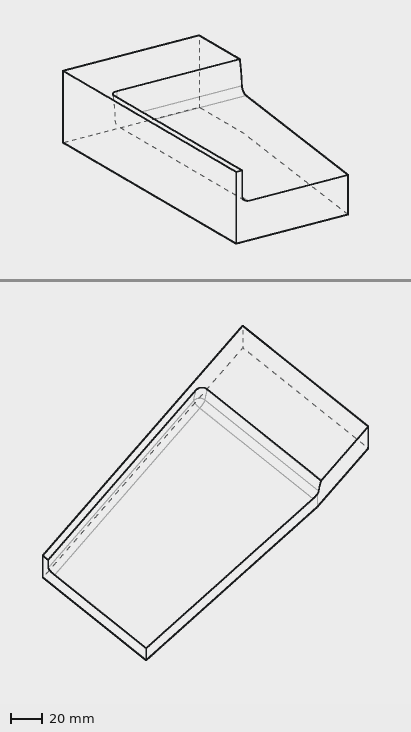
import cadquery as cq
import math

length = 200.0
width = 105.0
height = 50.0

taper_start = 51.0
end_width = 86.5

end_block_length = 47.2
front_wall = 4.5
floor_height = 27.5
end_wall_radius = 100.0
recess_fillet = 5.2
clearance = 20.0


def make_block():
    outline = [(0, 0), (length, 0), (length, end_width), (taper_start, width), (0, width)]
    return cq.Workplane("XY").polyline(outline).close().extrude(height)


def make_recess_cutter():
    """Recess volume with a bulging end wall and rounded inner edges."""
    def arc_reach(z):
        return math.sqrt(end_wall_radius**2 - (z - floor_height) ** 2)

    arc_center = end_block_length - arc_reach(height)
    far_end = length + clearance
    top = height + clearance
    middle = (floor_height + top) / 2
    cutter = (
        cq.Workplane("XZ", origin=(0, front_wall, 0))
        .moveTo(arc_center + end_wall_radius, floor_height)
        .lineTo(far_end, floor_height)
        .lineTo(far_end, top)
        .lineTo(arc_center + arc_reach(top), top)
        .threePointArc(
            (arc_center + arc_reach(middle), middle),
            (arc_center + end_wall_radius, floor_height),
        )
        .close()
        .extrude(-(width + clearance))
    )
    corner_edge = cutter.faces("<Y").edges("<X")
    floor_front_edge = cutter.faces("<Z").edges("<Y")
    floor_end_edge = cutter.faces("<Z").edges("<X")
    inner_edges = corner_edge.add(floor_front_edge).add(floor_end_edge)
    return cutter.newObject(inner_edges.vals()).fillet(recess_fillet)


result = make_block().cut(make_recess_cutter())